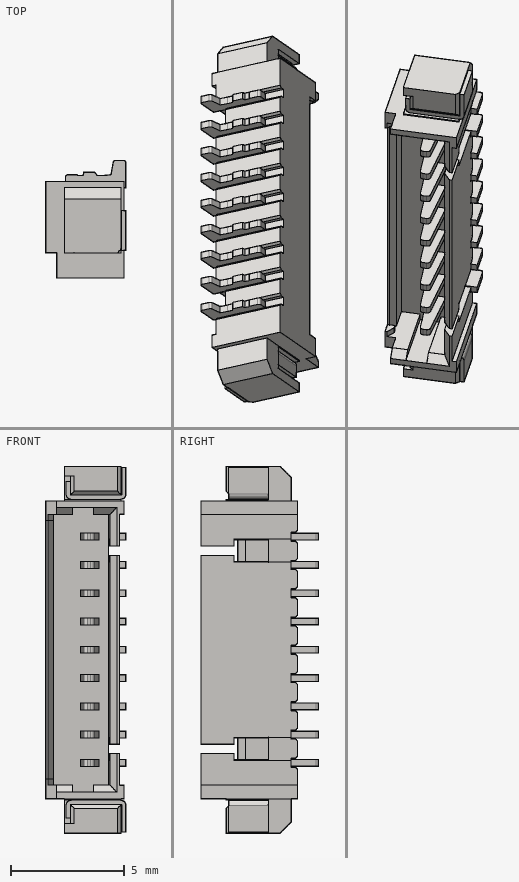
import cadquery as cq

body_half = 6.59
body_right = 3.47
body_back = 4.28
flange = 0.6
cavity_half = body_half - flange
wall_right = 3.28
floor_y = 3.0
mouth_depth = 0.39
mouth_bevel = 0.31
mouth_half = cavity_half + mouth_bevel

left_wall = 0.34
left_wall_front = 1.62
corner_front = 1.12
corner_half = 5.71
corner_right = 0.49
left_lip = 0.1
left_bevel_depth = 0.34

right_mouth = 3.15
right_inner = 2.85
right_floor = 2.79

guide_left = 1.18
guide_right = 2.12

window_z = 4.38
window_narrow = 0.4
window_wide = 1.02
window_shoulder = 1.48

pin_count = 9
pin_pitch = 1.25
pin_thickness = 0.31
blade_tip = 0.54
blade_base_left = 1.54
blade_base_right = 2.35
blade_tip_left = 1.7
blade_tip_right = 2.14
blade_round = 0.16
tail_y = 3.99
tail_left = 0.88
tail_right = 3.55
tail_top = 4.57
tail_dip = 4.54
tail_bump = 4.69
first_dip_left = 1.43
first_dip_right = 1.65
second_dip_left = 2.29
second_dip_right = 2.53
dip_slope = 0.03
bump_slope = 0.11
foot_left = 2.89
foot_tip_left = 3.0
foot_back = 5.2
tail_round = 0.11

groove_width = 0.39
groove_mouth = 0.58
groove_flare = (groove_mouth - groove_width) / 2

ear_left = 0.83
ear_right = 3.34
ear_front = corner_front
ear_back = 4.0
ear_top = 8.11
ear_chamfer = 0.5
plinth_top = 6.63
core_left = 1.1
core_bottom = 6.85
core_chamfer = 0.16
overhang_bottom = 7.67
slot_back = 2.98

clip_thickness = 0.2
clip_left = 0.91
clip_right = tail_right
clip_bottom = core_bottom - clip_thickness
clip_front = 1.23
clip_left_top = 7.43
clip_right_top = 8.06
clip_bend = 0.23


def block(x0, x1, y0, y1, z0, z1):
    return cq.Workplane("XY").box(x1 - x0, y1 - y0, z1 - z0, centered=False).translate((x0, y0, z0))


def slab(x0, x1, y0, y1, half):
    """A block centred on Z = 0."""
    return block(x0, x1, y0, y1, -half, half)


def plate(points, height):
    """An XY outline given thickness along Z, centred on Z = 0."""
    return cq.Workplane("XY").polyline(points).close().extrude(height / 2, both=True)


def mirrored(solid):
    return solid.union(solid.mirror("XY"))


def make_mouth_bevel():
    """Flared opening: wide at Y = 0, narrowing to the cavity at the end of the bevel."""
    end_bevel = (
        cq.Workplane("YZ")
        .polyline([(0, -mouth_half), (mouth_depth, -cavity_half), (mouth_depth, cavity_half), (0, mouth_half)])
        .close()
        .extrude(right_mouth)
    )
    side_bevel = plate([(0, 0), (right_mouth, 0), (right_inner, mouth_depth), (0, mouth_depth)], 2 * mouth_half)
    return end_bevel.intersect(side_bevel)


def make_left_wall_bevel(front, half):
    back = front + left_bevel_depth
    return plate([(left_lip, front), (left_wall, back), (corner_right, back), (corner_right, front)], 2 * half)


def make_housing():
    housing = slab(0, body_right, 0, body_back, body_half)
    housing = housing.cut(slab(wall_right, body_right, 0, body_back, cavity_half))

    housing = housing.cut(plate([
        (left_wall, 0), (right_inner, 0), (right_inner, mouth_depth),
        (right_floor, floor_y), (left_wall, floor_y),
    ], 2 * cavity_half))
    housing = housing.cut(slab(guide_left, guide_right, 0, floor_y, mouth_half))
    housing = housing.cut(make_mouth_bevel())

    housing = housing.cut(slab(0, corner_right, 0, corner_front, body_half))
    housing = housing.cut(slab(0, left_wall, corner_front, left_wall_front, corner_half))
    housing = housing.cut(make_left_wall_bevel(corner_front, cavity_half))
    housing = housing.cut(make_left_wall_bevel(left_wall_front, cavity_half))

    for z in (-window_z, window_z):
        for front, width in ((0, window_narrow), (window_shoulder, window_wide)):
            window = slab(right_floor, body_right, front, body_back, width / 2)
            housing = housing.cut(window.translate((0, 0, z)))
    return housing


def make_back_groove():
    inner = groove_width / 2
    outer = groove_mouth / 2
    shoulder = body_back - groove_flare
    return (
        cq.Workplane("YZ")
        .polyline([
            (tail_y, -inner), (shoulder, -inner), (body_back, -outer),
            (body_back, outer), (shoulder, inner), (tail_y, inner),
        ])
        .close()
        .extrude(body_right)
    )


def make_pin():
    blade = plate([
        (blade_base_left, floor_y), (blade_tip_left, blade_tip),
        (blade_tip_right, blade_tip), (blade_base_right, floor_y),
    ], pin_thickness)
    blade = blade.edges("|Z and <Y").fillet(blade_round)
    shank = slab(blade_base_left, blade_base_right, floor_y, tail_y, pin_thickness / 2)

    tail = plate([
        (tail_left, tail_y), (tail_left, tail_top),
        (first_dip_left - dip_slope, tail_top), (first_dip_left, tail_dip),
        (first_dip_right, tail_dip), (first_dip_right + dip_slope, tail_bump),
        (second_dip_left - bump_slope, tail_bump), (second_dip_left, tail_dip),
        (second_dip_right, tail_dip), (foot_left, tail_top),
        (foot_tip_left, foot_back), (tail_right, foot_back), (tail_right, tail_y),
    ], pin_thickness)
    tail = tail.edges("|Z and (<X or >Y)").fillet(tail_round)
    return blade.union(shank).union(tail)


def make_ear():
    back = block(ear_left, ear_right, slot_back, ear_back, body_half, ear_top)
    core = block(core_left, ear_right, ear_front, slot_back, core_bottom, ear_top)
    core = core.faces("<Y").edges("<X or >X or <Z").chamfer(core_chamfer)
    overhang = block(
        ear_left, core_left + core_chamfer, ear_front, slot_back, overhang_bottom, ear_top
    )
    plinth = block(ear_left, ear_right, ear_front, slot_back, body_half, plinth_top)
    ear = back.union(core).union(overhang).union(plinth)
    return ear.edges("|X and >Y and >Z").chamfer(ear_chamfer)


def make_clip():
    strip = block(clip_left, clip_right, clip_front, slot_back, clip_bottom, clip_right_top)
    strip = strip.edges("|Y and <Z").fillet(clip_bend)
    inside_left = clip_left + clip_thickness
    inside_right = clip_right - clip_thickness
    strip = strip.cut(block(inside_left, inside_right, clip_front, slot_back, core_bottom, clip_right_top))
    return strip.cut(block(clip_left, inside_left, clip_front, slot_back, clip_left_top, clip_right_top))


result = make_housing()
result = result.union(mirrored(make_ear())).union(mirrored(make_clip()))

pin = make_pin()
back_groove = make_back_groove()
for index in range(pin_count):
    pin_z = (index - (pin_count - 1) / 2) * pin_pitch
    result = result.cut(back_groove.translate((0, 0, pin_z)))
    result = result.union(pin.translate((0, 0, pin_z)))